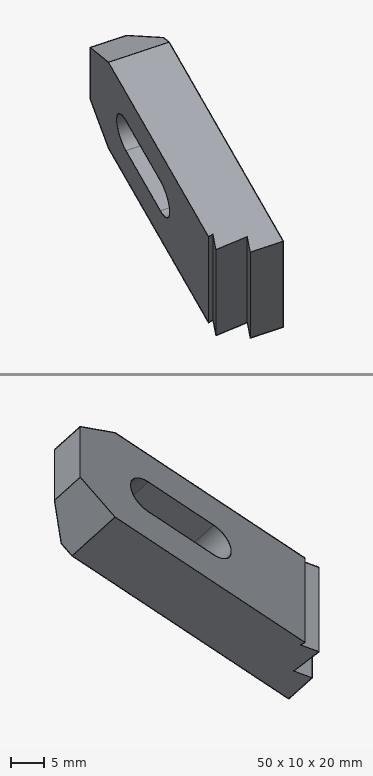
import cadquery as cq
import math

length = 50.0
thickness = 10.0
height = 20.0

nose_setback = 4.0
corner_angle = 30.0
back_bevel_angle = 40.0

slot_start = 10.0
slot_length = 20.0
slot_width = 7.0

tooth_run = 3.0
tooth_angle = 15.0
riser_angle = 5.0
upper_tip_depth = 4.55


def tangent(degrees):
    return math.tan(math.radians(degrees))


def make_body():
    """Side profile with the back bevel and the two undercut teeth."""
    bevel_run = nose_setback / tangent(back_bevel_angle)
    tooth_rise = tooth_run * tangent(tooth_angle)
    upper_root_x = length - tooth_run
    upper_root_y = upper_tip_depth + tooth_rise
    lower_tip_x = upper_root_x + upper_root_y * tangent(riser_angle)
    lower_root_x = lower_tip_x - tooth_run
    front_end_x = lower_root_x + tooth_rise * tangent(tooth_angle)
    profile = [
        (0, 0),
        (front_end_x, 0),
        (lower_root_x, tooth_rise),
        (lower_tip_x, 0),
        (upper_root_x, upper_root_y),
        (length, upper_tip_depth),
        (length, thickness),
        (bevel_run, thickness),
        (0, thickness - nose_setback),
    ]
    return cq.Workplane("XY").polyline(profile).close().extrude(height / 2, both=True)


def make_nose_corner(side):
    """Wedge removed from the top (side = 1) or bottom (side = -1) nose corner."""
    corner_run = nose_setback / tangent(corner_angle)
    edge_z = side * height / 2
    wedge = [(0, edge_z), (corner_run, edge_z), (0, edge_z - side * nose_setback)]
    return cq.Workplane("XZ").polyline(wedge).close().extrude(-thickness)


def make_slot():
    return (
        cq.Workplane("XZ")
        .center(slot_start + slot_length / 2, 0)
        .slot2D(slot_length, slot_width)
        .extrude(-thickness)
    )


result = make_body().cut(make_slot())
for corner_side in (1, -1):
    result = result.cut(make_nose_corner(corner_side))